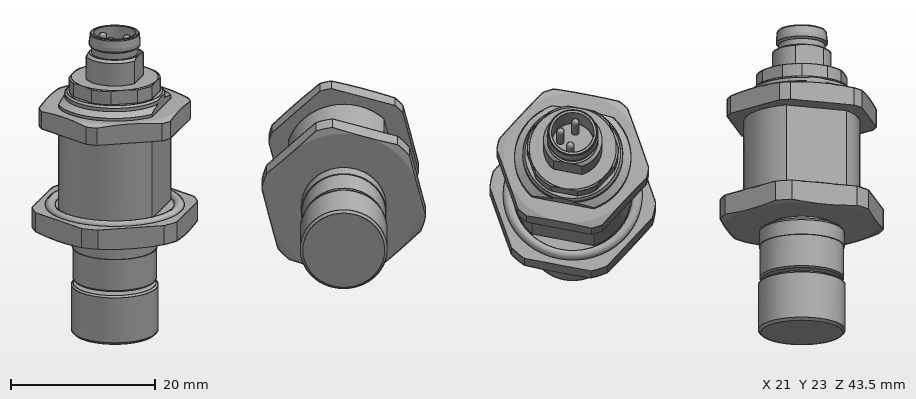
import cadquery as cq
import math

total_height = 43.5
base_top = 7.15
sleeve_bottom = 7.65
sleeve_collar_bottom = 12.4
sleeve_top = 14.85
flange_bottom = 15.45
flange_top = 18.5
lock_nut_bottom = 30.5
lock_nut_top = 33.28
cone_bottom = 33.65
cone_top = 34.28
body_top = 35.05
small_hex_top = 37.05
connector_top = 40.65
groove_top = 41.55

base_radius = 6.0
base_top_chamfer = 0.25
base_bottom_chamfer = 0.35
lower_neck_radius = 2.95
sleeve_radius = 5.8
sleeve_chamfer = 0.2
sleeve_collar_radius = 5.87
sleeve_collar_chamfer = 0.35
upper_neck_radius = 4.45

flange_across_flats = 21.0
flange_corner_diameter = 23.0
lock_nut_across_flats = 19.05
lock_nut_corner_diameter = 21.15
small_hex_across_flats = 12.0
small_hex_corner_diameter = 12.55
small_hex_chamfer_angle = 20.0
hex_chamfer_angle = 15.0

seal_ring_radius = 8.9
seal_section_radius = 0.75
seal_top = 19.0

body_radius = 8.05
body_flat_width = 13.55
body_tip_radius = 6.9
body_tip_chamfer = 0.3

connector_radius = 4.05
connector_flat_width = 7.0
connector_chamfer_height = 0.3
connector_chamfer_width = 0.52
groove_radius = 3.2
rim_radius = 3.4
rim_bead_radius = 3.52
rim_bead_bottom = 41.8
rim_bead_top = 42.33
rim_edge = 0.15
socket_radius = 2.9
socket_depth = 4.35

pin_radius = 0.52
pin_tip_fillet = 0.5
pin_offset = 1.75
pin_recess = 0.17
pin_angles = (0, 180, 270)


def disc(radius, bottom, top):
    return cq.Workplane("XY").workplane(offset=bottom).circle(radius).extrude(top - bottom)


def revolved(profile):
    """Turn an (r, z) outline about the Z axis."""
    return cq.Workplane("XZ").polyline(profile).close().revolve(360, (0, 0, 0), (0, 1, 0))


def with_two_flats(solid, flat_width):
    """Cut two flats facing -X and +X."""
    slab = cq.Workplane("XY").rect(flat_width, total_height).extrude(total_height)
    return solid.intersect(slab)


def turned_hex(across_flats, corner_diameter, bottom, top, chamfer_angle, chamfer_bottom=False):
    """Hexagon with flats facing X, corners turned round and one face chamfered down to the flats."""
    corner_radius = corner_diameter / 2
    flat_radius = across_flats / 2
    drop = (corner_radius - flat_radius) * math.tan(math.radians(chamfer_angle))
    if chamfer_bottom:
        profile = [(0, bottom), (flat_radius, bottom), (corner_radius, bottom + drop),
                   (corner_radius, top), (0, top)]
    else:
        profile = [(0, bottom), (corner_radius, bottom), (corner_radius, top - drop),
                   (flat_radius, top), (0, top)]
    point_to_point = across_flats / math.cos(math.radians(30))
    prism = (
        cq.Workplane("XY").workplane(offset=bottom)
        .transformed(rotate=(0, 0, 30))
        .polygon(6, point_to_point)
        .extrude(top - bottom)
    )
    return prism.intersect(revolved(profile))


def lower_end():
    base = disc(base_radius, 0, base_top)
    base = base.faces(">Z").chamfer(base_top_chamfer).faces("<Z").chamfer(base_bottom_chamfer)
    sleeve = disc(sleeve_radius, sleeve_bottom, sleeve_collar_bottom).faces("<Z").chamfer(sleeve_chamfer)
    collar = disc(sleeve_collar_radius, sleeve_collar_bottom, sleeve_top)
    collar = collar.faces(">Z").chamfer(sleeve_collar_chamfer)
    lower_neck = disc(lower_neck_radius, base_top, sleeve_bottom)
    upper_neck = disc(upper_neck_radius, sleeve_top, flange_bottom)
    return base.union(lower_neck).union(sleeve).union(collar).union(upper_neck)


def seal_ring():
    return (
        cq.Workplane("XZ")
        .center(seal_ring_radius, seal_top - seal_section_radius)
        .circle(seal_section_radius)
        .revolve(360, (-seal_ring_radius, 0, 0), (-seal_ring_radius, 1, 0))
    )


def body():
    turned = revolved([
        (0, flange_top),
        (body_radius, flange_top),
        (body_radius, cone_bottom),
        (body_tip_radius, cone_top),
        (body_tip_radius, body_top - body_tip_chamfer),
        (body_tip_radius - body_tip_chamfer, body_top),
        (0, body_top),
    ])
    return with_two_flats(turned, body_flat_width)


def connector():
    collar = revolved([
        (0, small_hex_top),
        (connector_radius, small_hex_top),
        (connector_radius, connector_top - connector_chamfer_height),
        (connector_radius - connector_chamfer_width, connector_top),
        (0, connector_top),
    ])
    collar = with_two_flats(collar, connector_flat_width)
    rim = revolved([
        (0, connector_top),
        (groove_radius, connector_top),
        (groove_radius, groove_top),
        (rim_bead_radius, rim_bead_bottom),
        (rim_bead_radius, rim_bead_top),
        (rim_radius, total_height - rim_edge),
        (rim_radius - rim_edge, total_height),
        (0, total_height),
    ])
    socket = disc(socket_radius, total_height - socket_depth, total_height)
    return collar.union(rim).cut(socket)


def pins():
    """Round-ended contacts standing on the socket floor."""
    pin = disc(pin_radius, total_height - socket_depth, total_height - pin_recess)
    pin = pin.faces(">Z").edges().fillet(pin_tip_fillet)
    pin = pin.translate((pin_offset, 0, 0))
    return [pin.rotate((0, 0, 0), (0, 0, 1), angle) for angle in pin_angles]


flange = turned_hex(
    flange_across_flats, flange_corner_diameter, flange_bottom, flange_top, hex_chamfer_angle,
    chamfer_bottom=True,
)
lock_nut = turned_hex(
    lock_nut_across_flats, lock_nut_corner_diameter, lock_nut_bottom, lock_nut_top, hex_chamfer_angle
)
small_hex = turned_hex(
    small_hex_across_flats, small_hex_corner_diameter, body_top, small_hex_top, small_hex_chamfer_angle
)

result = lower_end().union(flange).union(seal_ring()).union(body()).union(lock_nut)
result = result.union(small_hex).union(connector())
for contact in pins():
    result = result.union(contact)